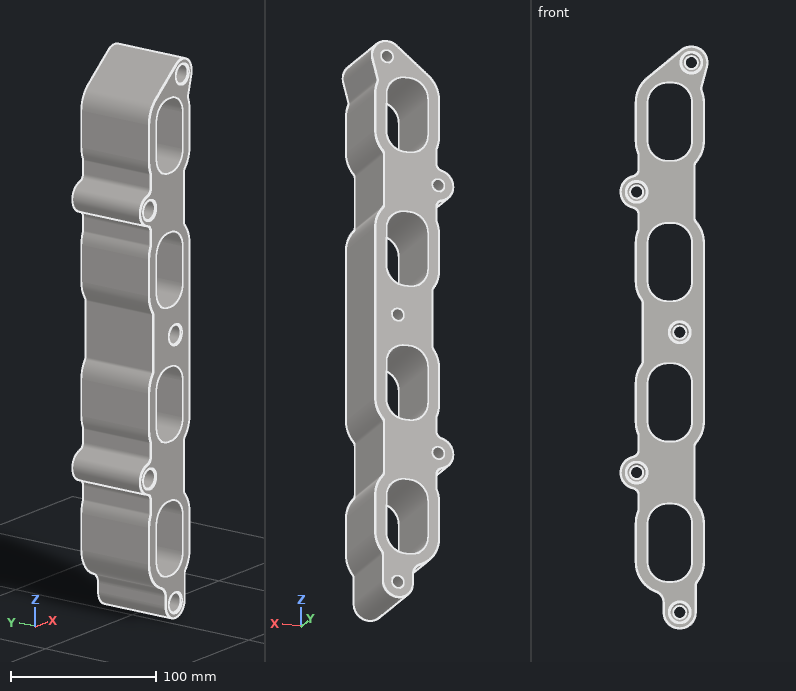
import cadquery as cq
import math

thickness = 58.5
half_length = 200.5
half_width = 30.0

pitch = 96.5
middle_z = 3.5

port_x = 4.0
port_width = 30.5
port_height = 53.8
port_corner = 13.5
port_wall = 8.5

outer_neck_left = -17.5
outer_neck_right = 21.3
middle_neck_left = -15.0

boss_radius = 11.2
inner_bolt_x = 11.0
bolt_mouth_radius = 7.5
bolt_bore_radius = 7.0
bolt_narrow_radius = 4.5
bolt_bore_depth = thickness / 2

rim_chamfer = 0.5
side_boss_fillet = 5.0
neck_fillet = 3.2
bottom_boss_fillet = 8.0
top_boss_fillet = 4.0
top_boss_lean = math.radians(15)

port_zs = [middle_z + pitch * step for step in (1.5, 0.5, -0.5, -1.5)]
lobe_half_width = port_width / 2 + port_wall
lobe_half_height = port_height / 2 + port_wall
lobe_corner = port_corner + port_wall
lobe_right = port_x + lobe_half_width
corner_dx = lobe_half_width - lobe_corner
corner_dz = lobe_half_height - lobe_corner
top_corner_z = port_zs[0] + corner_dz

boss_x = half_width - boss_radius
boss_z = half_length - boss_radius
top_boss = (boss_x, boss_z)
bottom_boss = (inner_bolt_x, -boss_z)
side_bosses = [(-boss_x, middle_z + pitch), (-boss_x, middle_z - pitch)]
bottom_left = inner_bolt_x - boss_radius
bottom_right = inner_bolt_x + boss_radius
bolts = [top_boss, bottom_boss, (inner_bolt_x, middle_z)] + side_bosses


def block(left, right, bottom, top):
    """Rectangular block through the full thickness."""
    return (
        cq.Workplane("XY")
        .box(right - left, thickness, top - bottom)
        .translate(((left + right) / 2, 0, (bottom + top) / 2))
    )


def rounded_block(z, width, height, corner):
    """Block centred on a port, with its four long edges rounded."""
    blank = cq.Workplane("XY").box(width, thickness, height)
    return blank.edges("|Y").fillet(corner).translate((port_x, 0, z))


def back_plane():
    """Sketch plane on the back face, with local axes along X and Z; it extrudes toward -Y."""
    return cq.Workplane("XZ", origin=(0, thickness / 2, 0))


def boss(centre):
    """Round boss through the full thickness."""
    return back_plane().center(*centre).circle(boss_radius).extrude(thickness)


def tangent_wall():
    """Outward normal of the leaning wall under the top boss, and its tangent point on the boss."""
    normal = (math.cos(top_boss_lean), -math.sin(top_boss_lean))
    return normal, (boss_x + boss_radius * normal[0], boss_z + boss_radius * normal[1])


def top_web():
    """Web from the top lobe to the top boss: a slope tangent to both, and the leaning wall."""
    left_corner = (port_x - corner_dx, top_corner_z)
    run = boss_x - left_corner[0]
    rise = boss_z - left_corner[1]
    slope = math.atan2(rise, run) - math.asin((lobe_corner - boss_radius) / math.hypot(run, rise))
    normal = (-math.sin(slope), math.cos(slope))
    slope_start = (left_corner[0] + lobe_corner * normal[0], left_corner[1] + lobe_corner * normal[1])
    slope_end = (boss_x + boss_radius * normal[0], boss_z + boss_radius * normal[1])

    wall_top = tangent_wall()[1]
    wall_bottom = (wall_top[0] - (wall_top[1] - top_corner_z) * math.tan(top_boss_lean), top_corner_z)
    outline = [left_corner, slope_start, slope_end, top_boss, wall_top, wall_bottom]
    return back_plane().polyline(outline).close().extrude(thickness)


def top_wall_foot():
    """Point where the leaning wall meets the top lobe's right corner arc."""
    normal, wall_top = tangent_wall()
    centre_x = port_x + corner_dx
    offset = (wall_top[0] - centre_x) * normal[0] + (wall_top[1] - top_corner_z) * normal[1]
    along = math.sqrt(lobe_corner**2 - offset**2)
    return (
        centre_x + offset * normal[0] - along * normal[1],
        top_corner_z + offset * normal[1] + along * normal[0],
    )


def lobe_drop(x):
    """Distance from a port's centre to its lobe's outline, along Z, at the given x."""
    return corner_dz + math.sqrt(lobe_corner**2 - (abs(x - port_x) - corner_dx) ** 2)


def fillet_corner(body, x, z, radius):
    """Round the inside corner that runs along Y nearest to (x, z)."""
    return body.edges("|Y").edges(cq.NearestToPointSelector((x, 0, z))).fillet(radius)


body = block(outer_neck_left, outer_neck_right, port_zs[1], port_zs[0])
body = body.union(block(outer_neck_left, outer_neck_right, port_zs[3], port_zs[2]))
body = body.union(block(middle_neck_left, lobe_right, port_zs[2], port_zs[1]))
body = body.union(block(bottom_left, bottom_right, -boss_z, port_zs[3]))
body = body.union(top_web())
for port_z in port_zs:
    body = body.union(rounded_block(port_z, 2 * lobe_half_width, 2 * lobe_half_height, lobe_corner))
for centre in [top_boss, bottom_boss] + side_bosses:
    body = body.union(boss(centre))
body = body.clean()

for upper_z, lower_z in [port_zs[0:2], port_zs[2:4]]:
    for neck_x in (outer_neck_left, outer_neck_right):
        body = fillet_corner(body, neck_x, upper_z - lobe_drop(neck_x), neck_fillet)
        body = fillet_corner(body, neck_x, lower_z + lobe_drop(neck_x), neck_fillet)

middle_drop = lobe_drop(middle_neck_left)
body = fillet_corner(body, middle_neck_left, port_zs[1] - middle_drop, neck_fillet)
body = fillet_corner(body, middle_neck_left, port_zs[2] + middle_drop, neck_fillet)

side_boss_reach = math.sqrt(boss_radius**2 - (outer_neck_left + boss_x) ** 2)
for _, side_boss_z in side_bosses:
    for side in (-1, 1):
        body = fillet_corner(body, outer_neck_left, side_boss_z + side * side_boss_reach, side_boss_fillet)

body = fillet_corner(body, bottom_left, port_zs[3] - lobe_drop(bottom_left), bottom_boss_fillet)
body = fillet_corner(body, bottom_right, port_zs[3] - lobe_drop(bottom_right), neck_fillet)
body = fillet_corner(body, *top_wall_foot(), top_boss_fillet)

body = body.faces("<Y or >Y").chamfer(rim_chamfer)

for port_z in port_zs:
    body = body.cut(rounded_block(port_z, port_width, port_height, port_corner))

front_y = -thickness / 2
cone_start_y = front_y + bolt_bore_depth
bolt_profile = [
    (0, front_y),
    (bolt_mouth_radius, front_y),
    (bolt_bore_radius, front_y + bolt_mouth_radius - bolt_bore_radius),
    (bolt_bore_radius, cone_start_y),
    (bolt_narrow_radius, cone_start_y + bolt_bore_radius - bolt_narrow_radius),
    (bolt_narrow_radius, thickness / 2),
    (0, thickness / 2),
]
bolt_hole = cq.Workplane("XY").polyline(bolt_profile).close().revolve(360, (0, 0), (0, 1))
for bolt_x, bolt_z in bolts:
    body = body.cut(bolt_hole.translate((bolt_x, 0, bolt_z)))

result = body